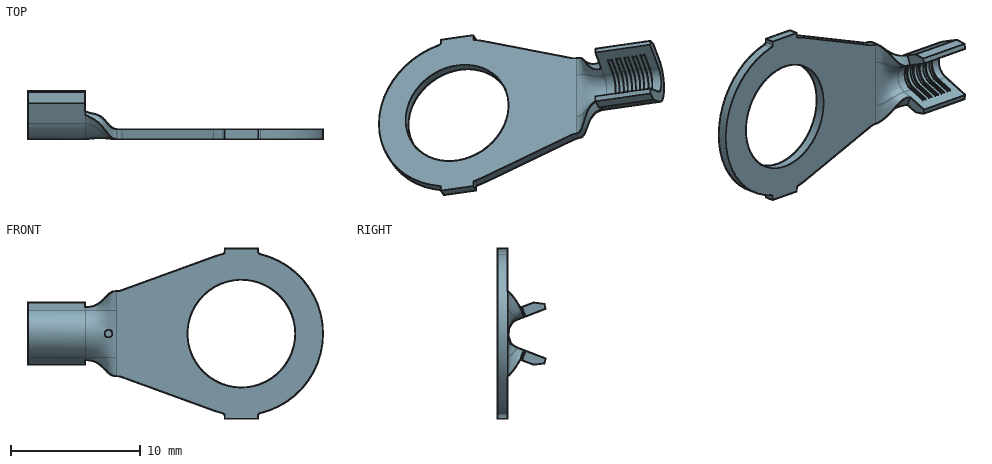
import cadquery as cq
import math

thickness = 0.8

ring_radius = 6.33
hole_radius = 4.15
flank_angle = math.radians(20)
tab_width = 2.6
tab_half_height = 6.6
tab_fillet = 0.18
shoulder_fillet = 1.1

barrel_start = -16.53
barrel_length = 4.43
barrel_radius = 1.95
barrel_bend = 69
bevel_start_y = 2.81
tip_outer = (3.65, 2.3)
tip_y = 3.75

groove_count = 5
groove_pitch = 0.66
groove_width = 0.32
groove_depth = 0.11
groove_end_y = 2.83

neck_start = barrel_start + barrel_length
neck_end = -9.67
neck_length = neck_end - neck_start
neck_stations = [
    (0.0, barrel_bend, 0.7, 0.0),
    (0.36, 50, 0.66, 0.07),
    (0.63, 20, 1.03, 0.07),
    (0.85, 3, 1.42, 0.02),
    (1.0, 0, 1.49, 0.0),
]

dimple_x = -10.29
dimple_radius = 0.3
dimple_depth = 0.18

inner_radius = barrel_radius - thickness
bend_half_width = barrel_radius * math.sin(math.radians(barrel_bend))
flat_wing = neck_stations[-1][2]
neck_half_width = bend_half_width + flat_wing


def bend_point(radius, degrees):
    """(Y, Z) at an angle along a barrel arc that is centred at Y = barrel_radius."""
    angle = math.radians(degrees)
    return barrel_radius - radius * math.cos(angle), radius * math.sin(angle)


def mirrored(point):
    return point[0], -point[1]


def leg_z(radius, y):
    """Z of the straight leg, tangent to the arc of this radius, at height y."""
    tangent_y, tangent_z = bend_point(radius, barrel_bend)
    return tangent_z + (y - tangent_y) / math.tan(math.radians(barrel_bend))


def trough(plane, outer_radius, upper_leg):
    """Closed U outline around the barrel bore; upper_leg runs from the outer to the inner side."""
    outer_tangent = bend_point(outer_radius, barrel_bend)
    inner_tangent = bend_point(inner_radius, barrel_bend)
    outline = plane.moveTo(*mirrored(outer_tangent))
    outline = outline.threePointArc(bend_point(outer_radius, 0), outer_tangent)
    for point in upper_leg + [inner_tangent]:
        outline = outline.lineTo(*point)
    outline = outline.threePointArc(bend_point(inner_radius, 0), mirrored(inner_tangent))
    for point in reversed(upper_leg):
        outline = outline.lineTo(*mirrored(point))
    return outline.close()


def make_barrel():
    upper_leg = [
        (bevel_start_y, leg_z(barrel_radius, bevel_start_y)),
        tip_outer,
        (tip_y, leg_z(inner_radius, tip_y)),
    ]
    plane = cq.Workplane("YZ", origin=(barrel_start, 0, 0))
    return trough(plane, barrel_radius, upper_leg).extrude(barrel_length)


def make_grooves():
    groove_radius = inner_radius + groove_depth
    upper_leg = [
        (groove_end_y, leg_z(groove_radius, groove_end_y)),
        (groove_end_y, leg_z(inner_radius, groove_end_y)),
    ]
    grooves = cq.Workplane("XY")
    grooved_length = (groove_count - 1) * groove_pitch + groove_width
    first_x = barrel_start + (barrel_length - grooved_length) / 2
    for index in range(groove_count):
        plane = cq.Workplane("YZ", origin=(first_x + index * groove_pitch, 0, 0))
        grooves = grooves.add(trough(plane, groove_radius, upper_leg).extrude(groove_width))
    return grooves.combine()


def neck_section(fraction, bend, wing, front_y):
    """Cross-section of the neck: a curved middle of constant width with a straight wing each side."""
    angle = math.radians(bend)
    sheet_y = thickness * math.cos(angle)
    sheet_z = -thickness * math.sin(angle)
    bend_rise = bend_half_width * math.tan(angle / 2)
    outer_bend = (front_y + bend_rise, bend_half_width)
    outer_end = (outer_bend[0] + wing * math.sin(angle), outer_bend[1] + wing * math.cos(angle))
    inner_end = (outer_end[0] + sheet_y, outer_end[1] + sheet_z)
    inner_bend = (outer_bend[0] + sheet_y, outer_bend[1] + sheet_z)

    section = cq.Workplane("YZ", origin=(neck_start + fraction * neck_length, 0, 0))
    section = section.moveTo(*mirrored(outer_bend))
    if bend:
        section = section.threePointArc((front_y, 0), outer_bend)
    else:
        section = section.lineTo(*outer_bend)
    section = section.lineTo(*outer_end).lineTo(*inner_end).lineTo(*inner_bend)
    if bend:
        section = section.threePointArc((front_y + thickness, 0), mirrored(inner_bend))
    else:
        section = section.lineTo(*mirrored(inner_bend))
    return section.lineTo(*mirrored(inner_end)).lineTo(*mirrored(outer_end)).close().val()


def make_neck():
    sections = [neck_section(*station) for station in neck_stations]
    return cq.Workplane(cq.Solid.makeLoft(sections, False))


def fillet_corners(blade, x, z, radius):
    """Fillet the edges through the sheet at (x, z) and at its mirror (x, -z)."""
    for corner_z in (-z, z):
        corner = cq.selectors.NearestToPointSelector((x, thickness / 2, corner_z))
        blade = blade.edges("|Y").edges(corner).fillet(radius)
    return blade


def make_blade():
    flank_x = -ring_radius * math.sin(flank_angle)
    flank_z = ring_radius * math.cos(flank_angle)
    shoulder_x = flank_x - (flank_z - neck_half_width) / math.tan(flank_angle)
    tab_x = tab_width / 2
    tab_base_z = math.sqrt(ring_radius**2 - tab_x**2)
    blade = (
        cq.Workplane("XZ")
        .moveTo(neck_end, -neck_half_width)
        .lineTo(shoulder_x, -neck_half_width)
        .lineTo(flank_x, -flank_z)
        .threePointArc((ring_radius, 0), (flank_x, flank_z))
        .lineTo(shoulder_x, neck_half_width)
        .lineTo(neck_end, neck_half_width)
        .close()
        .extrude(-thickness)
    )
    blade = fillet_corners(blade, shoulder_x, neck_half_width, shoulder_fillet)
    tabs = cq.Workplane("XZ").rect(tab_width, 2 * tab_half_height).extrude(-thickness)
    blade = blade.union(tabs)
    for x in (-tab_x, tab_x):
        blade = fillet_corners(blade, x, tab_base_z, tab_fillet)
    hole = cq.Workplane("XZ").circle(hole_radius).extrude(-thickness)
    return blade.cut(hole)


def make_dimple():
    return cq.Workplane("XZ").center(dimple_x, 0).circle(dimple_radius).extrude(-dimple_depth)


lug = make_barrel().cut(make_grooves()).union(make_neck()).union(make_blade())
result = lug.cut(make_dimple())